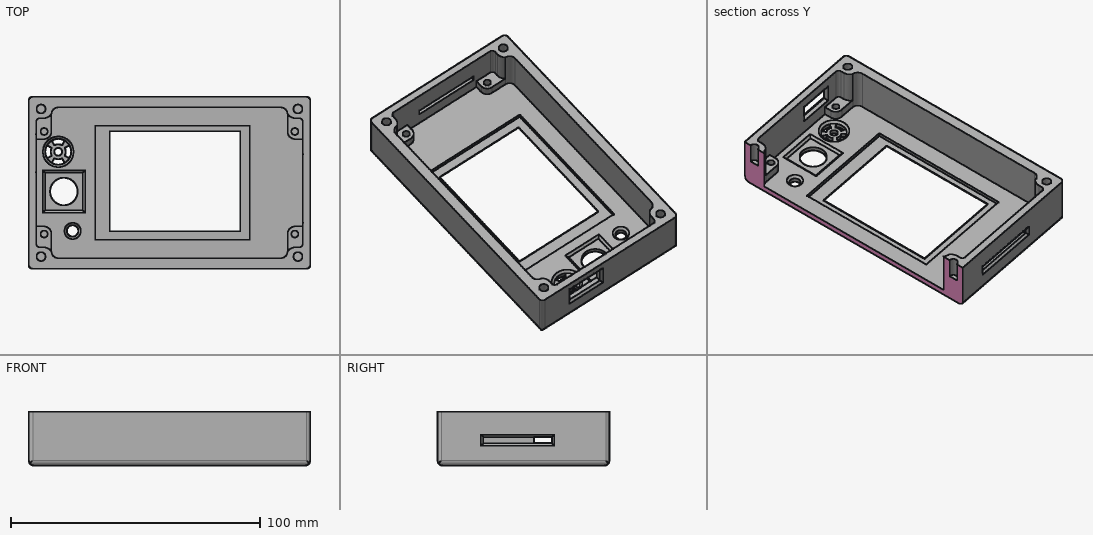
import cadquery as cq
import math

length, width, height = 113.0, 69.0, 21.7
corner_radius = 1.6
bottom_fillet = 2.3
end_wall = 3.0
side_wall = 4.3
floor = 2.9

post_inner_x = 47.3
post_inner_y = 25.9
cavity_corner_radius = 2.7
post_radius = 4.0
end_corner_radius = 1.5
post_hole_x, post_hole_y = 51.5, 29.6
post_hole_diameter = 3.6
post_hole_depth = 9.0

bevel = 1.0

pad_height = 4.0
pad_inner_y = 17.5
pad_radius = 3.0
pad_hole_x, pad_hole_y = 50.3, 20.6
pad_hole_diameter = 2.8

recess = (-29.7, 32.1, -22.9, 22.9)
recess_depth = 1.6
window = (-24.0, 28.4, -19.4, 20.6)

speaker_x, speaker_y = -44.6, 12.4
speaker_diameter = 10.3
grille_ring_diameter = 6.1
grille_hole_diameter = 3.0
grille_slot_count = 4
grille_slot_angle = 60.0
button_x, button_y = -42.4, -3.5
button_pocket_size = 15.0
button_diameter = 11.0
led_x, led_y = -38.9, -19.3
led_diameter = 4.5

port = (4.3, 19.5, 9.2, 17.1)
card_slot = (-16.0, 11.4, 9.0, 11.5)

cavity_x = length / 2 - end_wall
cavity_y = width / 2 - side_wall
bevel_bottom = floor - bevel

post_arc_rise = cavity_y - cavity_corner_radius - post_inner_y
post_arc_width = math.sqrt(post_radius**2 - (post_radius - post_arc_rise) ** 2)


def mirrored_points(x, y):
    """The four points mirrored about the X and Y axes."""
    return [(sx * x, sy * y) for sx in (-1, 1) for sy in (-1, 1)]


def block(x_range, y_range, z_range):
    """A box given by its limits along each axis."""
    sizes = [high - low for low, high in (x_range, y_range, z_range)]
    corner = (x_range[0], y_range[0], z_range[0])
    return cq.Workplane("XY").box(*sizes, centered=False).translate(corner)


def cylinder(x, y, diameter, bottom, top):
    return cq.Workplane("XY", origin=(x, y, bottom)).circle(diameter / 2).extrude(top - bottom)


def flared_hole(x, y, diameter):
    """A cone from the bottom of the bevel that widens at 45 degrees up to the floor."""
    return (
        cq.Workplane("XY", origin=(x, y, bevel_bottom)).circle(diameter / 2)
        .workplane(offset=bevel).circle(diameter / 2 + bevel).loft()
    )


def bevelled_rectangle(plane, x_size, y_size, offset):
    """A wide rectangle on the plane narrowing to the given size at the offset."""
    return (
        plane.rect(x_size + 2 * bevel, y_size + 2 * bevel)
        .workplane(offset=offset).rect(x_size, y_size).loft()
    )


def make_shell():
    """Outer block with a rounded bottom rim and slightly rounded upright corners."""
    rounded_bottom = (
        cq.Workplane("XY").box(length, width, height, centered=(True, True, False))
        .faces("<Z").edges().fillet(bottom_fillet)
    )
    column = (
        cq.Workplane("XY").box(length, width, height, centered=(True, True, False))
        .edges("|Z").fillet(corner_radius)
    )
    return rounded_bottom.intersect(column)


def make_cavity():
    """Inside space: a wide middle and narrower ends between the corner posts."""
    depth = height - floor
    middle = (
        cq.Workplane("XY", origin=(0, 0, floor)).rect(2 * post_inner_x, 2 * cavity_y).extrude(depth)
        .edges("|Z").fillet(cavity_corner_radius)
    )
    ends = (
        cq.Workplane("XY", origin=(0, 0, floor)).rect(2 * cavity_x, 2 * post_inner_y).extrude(depth)
        .edges("|Z").fillet(end_corner_radius)
    )
    cavity = middle.union(ends)
    post_arc_x = post_inner_x + post_arc_width
    corner = (
        block((post_inner_x, post_arc_x), (post_inner_y, post_inner_y + post_arc_rise), (floor, height))
        .cut(cylinder(post_arc_x, post_inner_y + post_radius, 2 * post_radius, floor, height))
    )
    for sx, sy in mirrored_points(1, 1):
        rounding = corner
        if sx < 0:
            rounding = rounding.mirror("YZ")
        if sy < 0:
            rounding = rounding.mirror("XZ")
        cavity = cavity.union(rounding)
    return cavity


def make_pads():
    """Four low pads, each with one rounded corner, reaching into the walls."""
    pad_outer_x = length / 2 - end_wall / 2
    pad_outer_y = post_inner_y + post_arc_rise
    pad_x = (post_inner_x + pad_outer_x) / 2
    pad_y = (pad_inner_y + pad_outer_y) / 2
    pad_length = pad_outer_x - post_inner_x
    pad_width = pad_outer_y - pad_inner_y
    pads = (
        cq.Workplane("XY", origin=(0, 0, floor)).pushPoints(mirrored_points(pad_x, pad_y))
        .rect(pad_length, pad_width).extrude(pad_height)
    )
    for x, y in mirrored_points(post_inner_x, pad_inner_y):
        free_edge = cq.selectors.NearestToPointSelector((x, y, floor + pad_height / 2))
        pads = pads.edges(free_edge).fillet(pad_radius)
    return pads


def make_blind_holes():
    post_holes = (
        cq.Workplane("XY", origin=(0, 0, height)).pushPoints(mirrored_points(post_hole_x, post_hole_y))
        .circle(post_hole_diameter / 2).extrude(-post_hole_depth)
    )
    pad_holes = (
        cq.Workplane("XY", origin=(0, 0, floor)).pushPoints(mirrored_points(pad_hole_x, pad_hole_y))
        .circle(pad_hole_diameter / 2).extrude(pad_height)
    )
    return post_holes.union(pad_holes)


def make_display_opening():
    """Recess around a window whose edges widen toward the underside."""
    x_min, x_max, y_min, y_max = window
    flare = bevelled_rectangle(
        cq.Workplane("XY", origin=((x_min + x_max) / 2, (y_min + y_max) / 2, 0)),
        x_max - x_min, y_max - y_min, bevel,
    )
    recess_cut = block(recess[:2], recess[2:], (floor - recess_depth, floor))
    return recess_cut.union(block(window[:2], window[2:], (0, floor))).union(flare)


def make_speaker_grille():
    """Flared seat with a central hole and a ring of slots between radial spokes."""
    slots = (
        cylinder(speaker_x, speaker_y, speaker_diameter, 0, bevel_bottom)
        .cut(cylinder(speaker_x, speaker_y, grille_ring_diameter, 0, bevel_bottom))
    )
    half_angle = math.radians(grille_slot_angle / 2)
    reach = speaker_diameter
    wedge = (
        cq.Workplane("XY")
        .polyline([
            (0, 0),
            (reach * math.cos(half_angle), -reach * math.sin(half_angle)),
            (reach * math.cos(half_angle), reach * math.sin(half_angle)),
        ])
        .close().extrude(bevel_bottom)
    )
    cutter = flared_hole(speaker_x, speaker_y, speaker_diameter)
    cutter = cutter.union(cylinder(speaker_x, speaker_y, grille_hole_diameter, 0, bevel_bottom))
    for index in range(grille_slot_count):
        turned = wedge.rotate((0, 0, 0), (0, 0, 1), index * 360 / grille_slot_count)
        cutter = cutter.union(slots.intersect(turned.translate((speaker_x, speaker_y, 0))))
    return cutter


def make_button_opening():
    """Square pocket with sloping sides around a round hole."""
    pocket = bevelled_rectangle(
        cq.Workplane("XY", origin=(button_x, button_y, floor)),
        button_pocket_size, button_pocket_size, -bevel,
    )
    return pocket.union(cylinder(button_x, button_y, button_diameter, 0, bevel_bottom))


def make_led_opening():
    flare = flared_hole(led_x, led_y, led_diameter)
    return flare.union(cylinder(led_x, led_y, led_diameter, 0, bevel_bottom))


def end_wall_opening(limits, side):
    """Rectangular hole through the end wall on one side (-1 or 1), bevelled on the outside."""
    y_min, y_max, z_min, z_max = limits
    outer_x = side * length / 2
    flare = bevelled_rectangle(
        cq.Workplane("YZ", origin=(outer_x, (y_min + y_max) / 2, (z_min + z_max) / 2)),
        y_max - y_min, z_max - z_min, -side * bevel,
    )
    return flare.union(block(sorted((outer_x, side * cavity_x)), limits[:2], limits[2:]))


result = make_shell().cut(make_cavity()).union(make_pads())
for opening in (
    make_blind_holes(),
    make_display_opening(),
    make_speaker_grille(),
    make_button_opening(),
    make_led_opening(),
    end_wall_opening(port, -1),
    end_wall_opening(card_slot, 1),
):
    result = result.cut(opening)